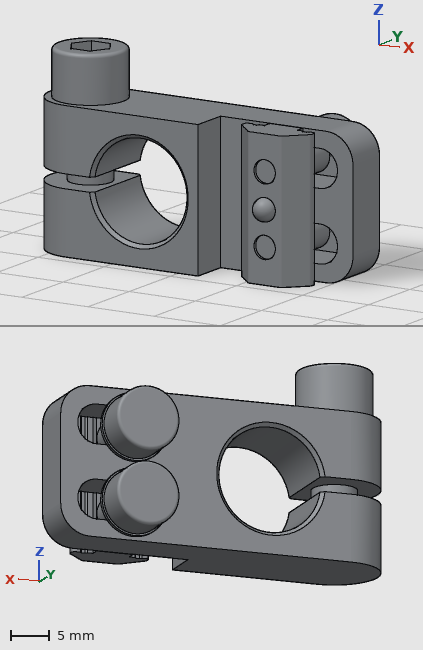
import cadquery as cq
import math


body_length = 46.0
body_height = 20.0
body_depth = 12.0
plate_depth = 6.5
plate_start_x = 26.0
plate_corner_radius = 4.0
middle_z = body_height / 2

bore_diameter = 14.0
bore_x = 17.0
bore_chamfer = 0.5
slit_height = 2.0

clamp_screw_x = body_depth / 2
clamp_screw_y = -body_depth / 2
clamp_shank_diameter = 6.0
clamp_head_diameter = 10.0
clamp_head_height = 6.65
clamp_head_rounding = 0.5
hex_across_flats = 5.0
hex_depth = 4.35

plate_screw_x = (plate_start_x + body_length) / 2
plate_screw_spacing = 10.0
plate_screw_heights = [
    middle_z - plate_screw_spacing / 2,
    middle_z + plate_screw_spacing / 2,
]
plate_shank_diameter = 4.9
washer_diameter = 9.0
washer_thickness = 0.55
plate_head_diameter = 8.5
plate_head_height = 5.0
plate_head_rounding = 0.4
slot_width = 5.3
slot_travel = 5.0

nut_gap = 0.15
nut_width = 10.55
nut_neck_width = 5.0
nut_front_width = 4.9
nut_shoulder_offset = 1.43
nut_front_offset = 5.4
nut_rounding = 0.45
nut_groove_depth = 0.28
nut_groove_start = 3.25
nut_groove_end = 4.25
nut_groove_flank = 0.25
screw_hole_diameter = 3.2
screw_hole_depth = 0.4

ball_diameter = 3.2
ball_projection = 1.55


def cylinder_y(diameter, x, z, start_y, end_y):
    """Cylinder along Y between two Y positions."""
    return (
        cq.Workplane("XZ", origin=(x, start_y, z))
        .circle(diameter / 2)
        .extrude(start_y - end_y)
    )


def make_body():
    """Clamp block with a round left end, stepping down to the thin plate."""
    block = (
        cq.Workplane("XY")
        .moveTo(clamp_screw_x, 0)
        .lineTo(body_length, 0)
        .lineTo(body_length, -plate_depth)
        .lineTo(plate_start_x, -plate_depth)
        .lineTo(plate_start_x, -body_depth)
        .lineTo(clamp_screw_x, -body_depth)
        .threePointArc((0, clamp_screw_y), (clamp_screw_x, 0))
        .close()
        .extrude(body_height)
    )
    return block.edges("|Y and >X").fillet(plate_corner_radius)


def make_bore():
    """Through bore, widened by a chamfer at both mouths."""
    radius = bore_diameter / 2
    mouth_radius = radius + bore_chamfer
    profile = [
        (0, 0),
        (-mouth_radius, 0),
        (-radius, -bore_chamfer),
        (-radius, bore_chamfer - body_depth),
        (-mouth_radius, -body_depth),
        (0, -body_depth),
    ]
    return (
        cq.Workplane("XY", origin=(bore_x, 0, middle_z))
        .polyline(profile)
        .close()
        .revolve(360, (0, 0, 0), (0, 1, 0))
    )


def make_slit():
    """Flat gap from the round end into the bore."""
    return cq.Workplane("XY").box(
        bore_x, body_depth, slit_height, centered=(False, True, True)
    ).translate((0, clamp_screw_y, middle_z))


def make_slot(z):
    """Slot along X through the plate, starting at the screw position."""
    return (
        cq.Workplane("XZ", origin=(plate_screw_x + slot_travel / 2, 0, z))
        .slot2D(slot_travel + slot_width, slot_width)
        .extrude(plate_depth)
    )


def make_clamp_screw():
    """Socket head screw standing on top of the clamp and crossing the slit."""
    shank = cq.Workplane("XY").circle(clamp_shank_diameter / 2).extrude(body_height)
    head = (
        cq.Workplane("XY", origin=(0, 0, body_height))
        .circle(clamp_head_diameter / 2)
        .extrude(clamp_head_height)
        .faces(">Z")
        .edges()
        .fillet(clamp_head_rounding)
    )
    hex_across_corners = hex_across_flats / math.cos(math.pi / 6)
    socket = (
        cq.Workplane("XY", origin=(0, 0, body_height + clamp_head_height))
        .polygon(6, hex_across_corners)
        .extrude(-hex_depth)
    )
    return shank.union(head).cut(socket).translate((clamp_screw_x, clamp_screw_y, 0))


def make_plate_screw(z):
    """Screw and washer on the back, with the shank reaching into the nut."""
    head_top = washer_thickness + plate_head_height
    shank_end = -plate_depth - nut_shoulder_offset
    head = cylinder_y(plate_head_diameter, plate_screw_x, z, head_top, washer_thickness)
    head = head.faces(">Y").edges().fillet(plate_head_rounding)
    washer = cylinder_y(washer_diameter, plate_screw_x, z, washer_thickness, 0)
    shank = cylinder_y(plate_shank_diameter, plate_screw_x, z, washer_thickness, shank_end)
    return head.union(washer).union(shank)


def make_nut():
    """T-slot nut bar with tapered flanks, two back grooves and a spring ball."""
    neck_y = -plate_depth - nut_gap
    shoulder_y = -plate_depth - nut_shoulder_offset
    groove_y = shoulder_y - nut_groove_depth
    front_y = -plate_depth - nut_front_offset
    half_width = nut_width / 2
    half_front = nut_front_width / 2
    half_neck = nut_neck_width / 2
    flank_y = front_y + half_width - half_front
    right_side = [
        (half_neck, neck_y),
        (half_neck, shoulder_y),
        (nut_groove_start, shoulder_y),
        (nut_groove_start + nut_groove_flank, groove_y),
        (nut_groove_end - nut_groove_flank, groove_y),
        (nut_groove_end, shoulder_y),
        (half_width, shoulder_y),
        (half_width, flank_y),
        (half_front, front_y),
    ]
    left_side = [(-x, y) for x, y in reversed(right_side)]
    nut = (
        cq.Workplane("XY", origin=(plate_screw_x, 0, 0))
        .polyline(right_side + left_side)
        .close()
        .extrude(body_height)
    )
    flank_edges = nut.edges("|Z and (>X or <X)").add(nut.faces("<Y").edges("|Z"))
    nut = flank_edges.fillet(nut_rounding)
    for z in plate_screw_heights:
        hole = cylinder_y(
            screw_hole_diameter, plate_screw_x, z, front_y + screw_hole_depth, front_y
        )
        nut = nut.cut(hole)
    ball_y = front_y - ball_projection + ball_diameter / 2
    ball = cq.Workplane("XZ").sphere(ball_diameter / 2)
    return nut.union(ball.translate((plate_screw_x, ball_y, middle_z)))


result = make_body().cut(make_bore()).cut(make_slit())
for screw_z in plate_screw_heights:
    result = result.cut(make_slot(screw_z))
result = result.union(make_nut()).union(make_clamp_screw())
for screw_z in plate_screw_heights:
    result = result.union(make_plate_screw(screw_z))